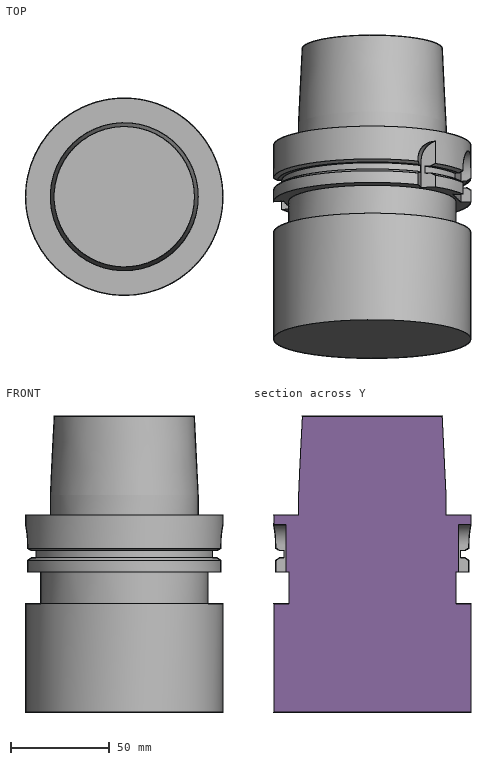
import cadquery as cq

total_height = 150.0
body_top = 55.0
flange_bottom = 71.0
flange_top = 100.0
taper_start = 110.0

body_diameter = 100.0
body_radius = body_diameter / 2
neck_radius = 42.5
shank_radius = 37.5
shank_tip_radius = 35.5

groove_radius = 45.9
groove_bevel_radius = 48.0
groove_mouth_bottom = 77.0
groove_mouth_top = 83.1
groove_floor_bottom = 78.3
groove_floor_top = 81.9

slot_width = 20.1
slot_radius = slot_width / 2
slot_top = 95.0
slot_arc_height = slot_top - slot_radius
slot_floor = 43.8
notch_floor = 31.2
notch_wall = -31.6


def turned_body():
    """Revolve the half section of the holder about the Z axis."""
    return (
        cq.Workplane("XZ")
        .lineTo(body_radius, 0)
        .lineTo(body_radius, body_top)
        .lineTo(neck_radius, body_top)
        .lineTo(neck_radius, flange_bottom)
        .lineTo(body_radius, flange_bottom)
        .lineTo(body_radius, groove_mouth_bottom)
        .lineTo(groove_bevel_radius, groove_floor_bottom)
        .lineTo(groove_radius, groove_floor_bottom)
        .lineTo(groove_radius, groove_floor_top)
        .lineTo(groove_bevel_radius, groove_floor_top)
        .lineTo(body_radius, groove_mouth_top)
        .lineTo(body_radius, flange_top)
        .lineTo(shank_radius, flange_top)
        .lineTo(shank_radius, taper_start)
        .lineTo(shank_tip_radius, total_height)
        .lineTo(0, total_height)
        .close()
        .revolve(360, (0, 0, 0), (0, 1, 0))
    )


def slot_cutter(floor_distance):
    """Slot centred on the +Y direction, running outward from its floor."""
    return (
        cq.Workplane("XZ", origin=(0, floor_distance, 0))
        .moveTo(-slot_radius, flange_bottom)
        .lineTo(-slot_radius, slot_arc_height)
        .threePointArc((0, slot_top), (slot_radius, slot_arc_height))
        .lineTo(slot_radius, flange_bottom)
        .close()
        .extrude(-body_radius)
    )


result = turned_body()

for angle in (90, -90):
    drive_slot = slot_cutter(slot_floor).rotate((0, 0, 0), (0, 0, 1), angle)
    result = result.cut(drive_slot)

notch = slot_cutter(notch_floor).translate((notch_wall - slot_radius, 0, 0))
result = result.cut(notch)